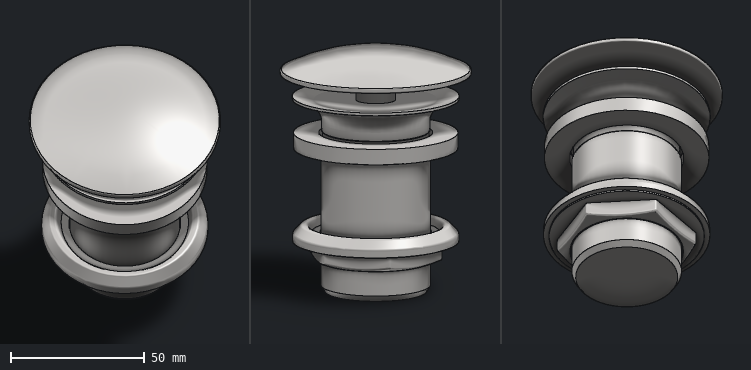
import cadquery as cq
import math

TOTAL_HEIGHT = 93.5
CAP_RADIUS = 36.0
CAP_BOTTOM = 83.4
CAP_RIM_TOP = 85.3
CAP_EDGE = 0.5
STEM_RADIUS = 7.5

FLANGE_RADIUS = 31.4
FLANGE_TOP = 75.0
FLANGE_LIP = 1.1
FLANGE_LIP_INSET = 0.5
FUNNEL_ANGLE = 10.0
FUNNEL_FLOOR_RADIUS = 23.2
FUNNEL_DEPTH = (FLANGE_RADIUS - FUNNEL_FLOOR_RADIUS) * math.tan(math.radians(FUNNEL_ANGLE))
FUNNEL_FLOOR = FLANGE_TOP - FUNNEL_DEPTH
NECK_RADIUS = 20.4
NECK_TOP = 65.0
NECK_BOTTOM = 61.8
FLARE_RADIUS = 7.9
FLARE_ANGLE = 16.0
GROOVE_RADIUS = 20.0
TUBE_RADIUS = 20.7
TUBE_TOP = 53.5
TUBE_TOP_CHAMFER = TUBE_RADIUS - GROOVE_RADIUS
TUBE_END_CHAMFER = 1.5
TUBE_END_CHAMFER_HEIGHT = 2.4

GASKET_RADIUS = 31.0
GASKET_HOLE_RADIUS = 21.4
GASKET_BOTTOM = 55.0
GASKET_THICKNESS = 6.0

NUT_BOTTOM = 11.9
NUT_BORE_RADIUS = 20.95
HEX_ACROSS_FLATS = 45.6
HEX_EDGE_RADIUS = 1.0
HEX_CHAMFER_RADIUS = 21.3
HEX_CHAMFER_ANGLE = 20.0
COLLAR_BOTTOM = 18.7
COLLAR_RADIUS = 31.3
COLLAR_STEP_RADIUS = 29.2
COLLAR_STEP_HEIGHT = 0.7
COLLAR_CONE_BOTTOM = 22.3
COLLAR_TOP = 25.7
COLLAR_TOP_RADIUS = 28.0
COLLAR_EDGE_RADIUS = 1.5
DISH_MOUTH_RADIUS = 25.7
DISH_FLOOR_RADIUS = 23.9
DISH_DEPTH = 3.0


def revolve(profile):
    """Turn a closed outline of (radius, height) into a solid about Z."""
    return profile.close().revolve(360, (0, 0, 0), (0, 1, 0))


def make_plug():
    dome_edge = CAP_RADIUS - CAP_EDGE
    dome_rise = TOTAL_HEIGHT - CAP_RIM_TOP
    sphere_radius = (dome_edge ** 2 + dome_rise ** 2) / (2 * dome_rise)
    mid_radius = dome_edge / 2
    mid_drop = sphere_radius - math.sqrt(sphere_radius ** 2 - mid_radius ** 2)
    return revolve(
        cq.Workplane("XZ")
        .moveTo(0, FUNNEL_FLOOR)
        .lineTo(STEM_RADIUS, FUNNEL_FLOOR)
        .lineTo(STEM_RADIUS, CAP_BOTTOM)
        .lineTo(dome_edge, CAP_BOTTOM)
        .radiusArc((CAP_RADIUS, CAP_BOTTOM + CAP_EDGE), -CAP_EDGE)
        .lineTo(CAP_RADIUS, CAP_RIM_TOP - CAP_EDGE)
        .radiusArc((dome_edge, CAP_RIM_TOP), -CAP_EDGE)
        .threePointArc((mid_radius, TOTAL_HEIGHT - mid_drop), (0, TOTAL_HEIGHT))
    )


def make_body():
    slope = math.radians(FLARE_ANGLE)
    arc_end = (
        NECK_RADIUS + FLARE_RADIUS * (1 - math.sin(slope)),
        NECK_TOP + FLARE_RADIUS * math.cos(slope),
    )
    return revolve(
        cq.Workplane("XZ")
        .moveTo(0, 0)
        .lineTo(TUBE_RADIUS - TUBE_END_CHAMFER, 0)
        .lineTo(TUBE_RADIUS, TUBE_END_CHAMFER_HEIGHT)
        .lineTo(TUBE_RADIUS, TUBE_TOP - TUBE_TOP_CHAMFER)
        .lineTo(GROOVE_RADIUS, TUBE_TOP)
        .lineTo(GROOVE_RADIUS, NECK_BOTTOM - (NECK_RADIUS - GROOVE_RADIUS))
        .lineTo(NECK_RADIUS, NECK_BOTTOM)
        .lineTo(NECK_RADIUS, NECK_TOP)
        .radiusArc(arc_end, FLARE_RADIUS)
        .lineTo(FLANGE_RADIUS - FLANGE_LIP_INSET, FLANGE_TOP - FLANGE_LIP)
        .lineTo(FLANGE_RADIUS, FLANGE_TOP - FLANGE_LIP)
        .lineTo(FLANGE_RADIUS, FLANGE_TOP)
        .lineTo(FUNNEL_FLOOR_RADIUS, FUNNEL_FLOOR)
        .lineTo(0, FUNNEL_FLOOR)
    )


def make_gasket():
    return (
        cq.Workplane("XY", origin=(0, 0, GASKET_BOTTOM))
        .circle(GASKET_RADIUS)
        .circle(GASKET_HOLE_RADIUS)
        .extrude(GASKET_THICKNESS)
    )


def make_nut_hexagon():
    """Hexagon with corners toward +Y and -Y, chamfered at its lower end."""
    height = COLLAR_BOTTOM - NUT_BOTTOM
    corner_radius = HEX_ACROSS_FLATS / math.sqrt(3)
    hexagon = (
        cq.Workplane("XY", origin=(0, 0, NUT_BOTTOM))
        .transformed(rotate=(0, 0, 90))
        .polygon(6, 2 * corner_radius)
        .extrude(height)
    )
    chamfer_rise = (corner_radius - HEX_CHAMFER_RADIUS) * math.tan(math.radians(HEX_CHAMFER_ANGLE))
    envelope = revolve(
        cq.Workplane("XZ")
        .moveTo(0, NUT_BOTTOM)
        .lineTo(HEX_CHAMFER_RADIUS, NUT_BOTTOM)
        .lineTo(corner_radius, NUT_BOTTOM + chamfer_rise)
        .lineTo(corner_radius, COLLAR_BOTTOM)
        .lineTo(0, COLLAR_BOTTOM)
    )
    chamfered = hexagon.intersect(envelope)
    return chamfered.faces("#Z").edges("not >Z").fillet(HEX_EDGE_RADIUS)


def make_nut_collar():
    dish_floor = COLLAR_TOP - DISH_DEPTH
    collar = revolve(
        cq.Workplane("XZ")
        .moveTo(0, COLLAR_BOTTOM)
        .lineTo(COLLAR_STEP_RADIUS, COLLAR_BOTTOM)
        .lineTo(COLLAR_STEP_RADIUS, COLLAR_BOTTOM + COLLAR_STEP_HEIGHT)
        .lineTo(COLLAR_RADIUS, COLLAR_BOTTOM + COLLAR_STEP_HEIGHT)
        .lineTo(COLLAR_RADIUS, COLLAR_CONE_BOTTOM)
        .lineTo(COLLAR_TOP_RADIUS, COLLAR_TOP)
        .lineTo(DISH_MOUTH_RADIUS, COLLAR_TOP)
        .lineTo(DISH_FLOOR_RADIUS, dish_floor)
        .lineTo(0, dish_floor)
    )
    cone_bottom_edge = cq.selectors.NearestToPointSelector((0, 0, COLLAR_CONE_BOTTOM))
    return (
        collar
        .faces(">Z")
        .edges()
        .add(collar.edges(cone_bottom_edge))
        .fillet(COLLAR_EDGE_RADIUS)
    )


def make_nut():
    bore = cq.Workplane("XY").circle(NUT_BORE_RADIUS).extrude(COLLAR_TOP)
    return make_nut_hexagon().union(make_nut_collar()).cut(bore)


plug = make_plug()
body = make_body()
gasket = make_gasket()
nut = make_nut()

result = cq.Compound.makeCompound([plug.val(), body.val(), gasket.val(), nut.val()])